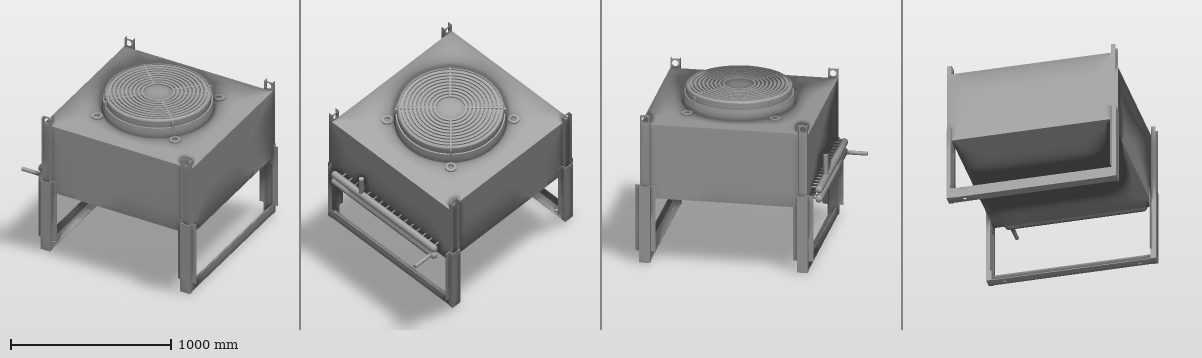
import cadquery as cq
import math


CABINET_WIDTH = 1062.0
CABINET_DEPTH = 1027.0
CABINET_BOTTOM = 421.0
CABINET_TOP = 910.0

SHEET = 4.0

POST_WIDTH = 61.0
POST_DEPTH = 29.0
POST_BOTTOM = 371.0
POST_TOP = 971.0
POST_X = (CABINET_WIDTH - POST_WIDTH) / 2
POST_HOLE_DIAMETER = 42.0
POST_HOLE_Z = 941.0

LEG_WIDTH = POST_WIDTH + 2 * SHEET
LEG_DEPTH = POST_DEPTH + SHEET
LEG_TOP = 507.0
LIP_SPAN = 130.0

BEAM_HEIGHT = 69.0
BEAM_LENGTH = CABINET_DEPTH + 2 * POST_DEPTH
BEAM_HOLE_DIAMETER = 21.0
BEAM_HOLE_Y = 435.0

COWL_BASE_RADIUS = 353.0
COWL_LEDGE_RADIUS = 343.0
COWL_RADIUS = 334.0
COWL_LEDGE_Z = 975.0
COWL_TOP = 1028.0
COWL_ROUNDING = 14.0

HUB_RADIUS = 91.0
GROOVE_COUNT = 9
GROOVE_OUTER_RADIUS = 318.0
GROOVE_PITCH = (GROOVE_OUTER_RADIUS - HUB_RADIUS) / GROOVE_COUNT
GROOVE_WIDTH = 10.0
GROOVE_DEPTH = 9.0
SPOKE_COUNT = 4
SPOKE_WIDTH = 10.0
RIB_RADIUS = 347.0
RIB_TOP = COWL_TOP - COWL_ROUNDING

BOSS_OFFSET = 279.0
BOSS_DIAMETER = 73.0
BOSS_HOLE_DIAMETER = 38.0
BOSS_HEIGHT = 10.0

HEADER_X = -586.0
HEADER_RADIUS = 23.0
HEADER_HALF_LENGTH = 434.0
UPPER_HEADER_Z = 519.0
LOWER_HEADER_Z = 457.0
UPRIGHT_PIPE_RADIUS = 15.0
UPRIGHT_PIPE_Y = 203.0
UPRIGHT_PIPE_TOP = 667.0
SIDE_PIPE_RADIUS = 13.0
SIDE_PIPE_Y = -417.0
SIDE_PIPE_END_X = -738.0

TUBE_COUNT = 32
TUBE_RADIUS = 5.0
TUBE_END_Y = 418.0
TUBE_PITCH = 2 * TUBE_END_Y / (TUBE_COUNT - 1)


def box_between(x_range, y_range, z_range):
    """Box between two limits along each axis."""
    low, high = zip(x_range, y_range, z_range)
    size = [b - a for a, b in zip(low, high)]
    return cq.Workplane("XY").box(*size, centered=False).translate(low)


def rod(radius, start, end):
    """Round rod between two points."""
    axis = cq.Vector(*end) - cq.Vector(*start)
    return cq.Workplane(obj=cq.Solid.makeCylinder(radius, axis.Length, cq.Vector(*start), axis))


def place_at_corner(shape, side_x, side_y):
    """Move a corner part made for the -Y face to one of the four cabinet corners."""
    if side_y > 0:
        shape = shape.mirror("XZ")
    return shape.translate((side_x * POST_X, side_y * CABINET_DEPTH / 2, 0))


def make_post():
    """Channel post with its web at Y = 0 and its flanges toward -Y."""
    half = POST_WIDTH / 2
    outside = box_between((-half, half), (-POST_DEPTH, 0), (POST_BOTTOM, POST_TOP))
    inside = box_between((SHEET - half, half - SHEET), (-POST_DEPTH, -SHEET), (POST_BOTTOM, POST_TOP))
    hole = rod(POST_HOLE_DIAMETER / 2, (0, -POST_DEPTH, POST_HOLE_Z), (0, SHEET, POST_HOLE_Z))
    return outside.cut(inside).cut(hole)


def make_cowl():
    """Conical skirt, ledge and rounded drum of the fan."""
    drum_side = COWL_TOP - COWL_ROUNDING
    corner = COWL_RADIUS - COWL_ROUNDING
    bend = COWL_ROUNDING * math.sqrt(0.5)
    return (
        cq.Workplane("XZ")
        .moveTo(0, CABINET_TOP)
        .lineTo(COWL_BASE_RADIUS, CABINET_TOP)
        .lineTo(COWL_LEDGE_RADIUS, COWL_LEDGE_Z)
        .lineTo(COWL_RADIUS, COWL_LEDGE_Z)
        .lineTo(COWL_RADIUS, drum_side)
        .threePointArc((corner + bend, drum_side + bend), (corner, COWL_TOP))
        .lineTo(0, COWL_TOP)
        .close()
        .revolve(360, (0, 0, 0), (0, 1, 0))
    )


def radial_bars(length, bottom, top):
    """Bars of spoke width reaching out from the fan axis on the diagonals."""
    bars = cq.Workplane("XY")
    half = SPOKE_WIDTH / 2
    for index in range(SPOKE_COUNT):
        angle = (index + 0.5) * 360 / SPOKE_COUNT
        bar = box_between((0, length), (-half, half), (bottom, top))
        bars = bars.add(bar.rotate((0, 0, 0), (0, 0, 1), angle))
    return bars.combine()


def make_grille_cut():
    """Ring grooves interrupted by the spokes, and the sunk hub."""
    floor = cq.Workplane("XY").workplane(offset=COWL_TOP - GROOVE_DEPTH)
    grooves = cq.Workplane("XY")
    for index in range(GROOVE_COUNT):
        outer = GROOVE_OUTER_RADIUS - index * GROOVE_PITCH
        grooves = grooves.add(floor.circle(outer).circle(outer - GROOVE_WIDTH).extrude(GROOVE_DEPTH))
    spokes = radial_bars(COWL_RADIUS, CABINET_TOP, COWL_TOP)
    hub = floor.circle(HUB_RADIUS).extrude(GROOVE_DEPTH)
    return grooves.combine().cut(spokes).union(hub)


def make_fan():
    """Cowl with a rib down its side below each spoke, and the grille cut into its top."""
    ribs = radial_bars(RIB_RADIUS, CABINET_TOP, RIB_TOP)
    return make_cowl().union(ribs).cut(make_grille_cut())


def make_bosses():
    """Four low rings on the cabinet top, on the diagonals of the fan."""
    return (
        cq.Workplane("XY")
        .workplane(offset=CABINET_TOP)
        .rect(2 * BOSS_OFFSET, 2 * BOSS_OFFSET, forConstruction=True)
        .vertices()
        .circle(BOSS_DIAMETER / 2)
        .circle(BOSS_HOLE_DIAMETER / 2)
        .extrude(BOSS_HEIGHT)
    )


def make_header(z):
    """Horizontal pipe along Y with rounded ends."""
    end = (HEADER_X, HEADER_HALF_LENGTH, z)
    start = (HEADER_X, -HEADER_HALF_LENGTH, z)
    pipe = rod(HEADER_RADIUS, start, end)
    for centre in (start, end):
        pipe = pipe.union(cq.Workplane("XY").sphere(HEADER_RADIUS).translate(centre))
    return pipe


def make_pipework():
    """Both headers with their connecting pipes and feed tubes."""
    upper_centre = (HEADER_X, UPRIGHT_PIPE_Y, UPPER_HEADER_Z)
    upright_end = (HEADER_X, UPRIGHT_PIPE_Y, UPRIGHT_PIPE_TOP)
    lower_centre = (HEADER_X, SIDE_PIPE_Y, LOWER_HEADER_Z)
    side_end = (SIDE_PIPE_END_X, SIDE_PIPE_Y, LOWER_HEADER_Z)
    pipework = make_header(UPPER_HEADER_Z).union(rod(UPRIGHT_PIPE_RADIUS, upper_centre, upright_end))
    pipework = pipework.union(make_header(LOWER_HEADER_Z).union(rod(SIDE_PIPE_RADIUS, lower_centre, side_end)))
    for index in range(TUBE_COUNT):
        y = index * TUBE_PITCH - TUBE_END_Y
        z = UPPER_HEADER_Z if index % 2 == 0 else LOWER_HEADER_Z
        pipework = pipework.union(rod(TUBE_RADIUS, (HEADER_X, y, z), (-CABINET_WIDTH / 2, y, z)))
    return pipework


def make_cooler():
    """Cabinet with its posts, fan, bosses and pipework."""
    half_width = CABINET_WIDTH / 2
    half_depth = CABINET_DEPTH / 2
    cooler = box_between(
        (-half_width, half_width), (-half_depth, half_depth), (CABINET_BOTTOM, CABINET_TOP)
    )
    for side_x in (-1, 1):
        for side_y in (-1, 1):
            cooler = cooler.union(place_at_corner(make_post(), side_x, side_y))
    return cooler.union(make_fan()).union(make_bosses()).union(make_pipework())


def make_leg():
    """Hat section with its lips on Y = 0 and its crown toward -Y; the lips stop above the beam."""
    half = LEG_WIDTH / 2
    crown = box_between((-half, half), (-LEG_DEPTH, 0), (0, LEG_TOP))
    lips = box_between((-LIP_SPAN / 2, LIP_SPAN / 2), (-SHEET, 0), (BEAM_HEIGHT, LEG_TOP))
    inside = box_between((SHEET - half, half - SHEET), (SHEET - LEG_DEPTH, 0), (0, LEG_TOP))
    return crown.union(lips).cut(inside)


def make_beam(side_x):
    """Angle with its upright on the outer side and a mounting hole near each end."""
    half = POST_WIDTH / 2
    y_range = (-BEAM_LENGTH / 2, BEAM_LENGTH / 2)
    plate = box_between((-half, half), y_range, (0, SHEET))
    upright = box_between((half - SHEET, half), y_range, (0, BEAM_HEIGHT))
    beam = plate.union(upright)
    for y in (-BEAM_HOLE_Y, BEAM_HOLE_Y):
        beam = beam.cut(rod(BEAM_HOLE_DIAMETER / 2, (0, y, 0), (0, y, SHEET)))
    if side_x < 0:
        beam = beam.mirror("YZ")
    return beam.translate((side_x * POST_X, 0, 0))


cooler = make_cooler()
legs = [place_at_corner(make_leg(), side_x, side_y) for side_x in (-1, 1) for side_y in (-1, 1)]
beams = [make_beam(side_x) for side_x in (-1, 1)]

result = cq.Compound.makeCompound([body.val() for body in [cooler, *legs, *beams]])